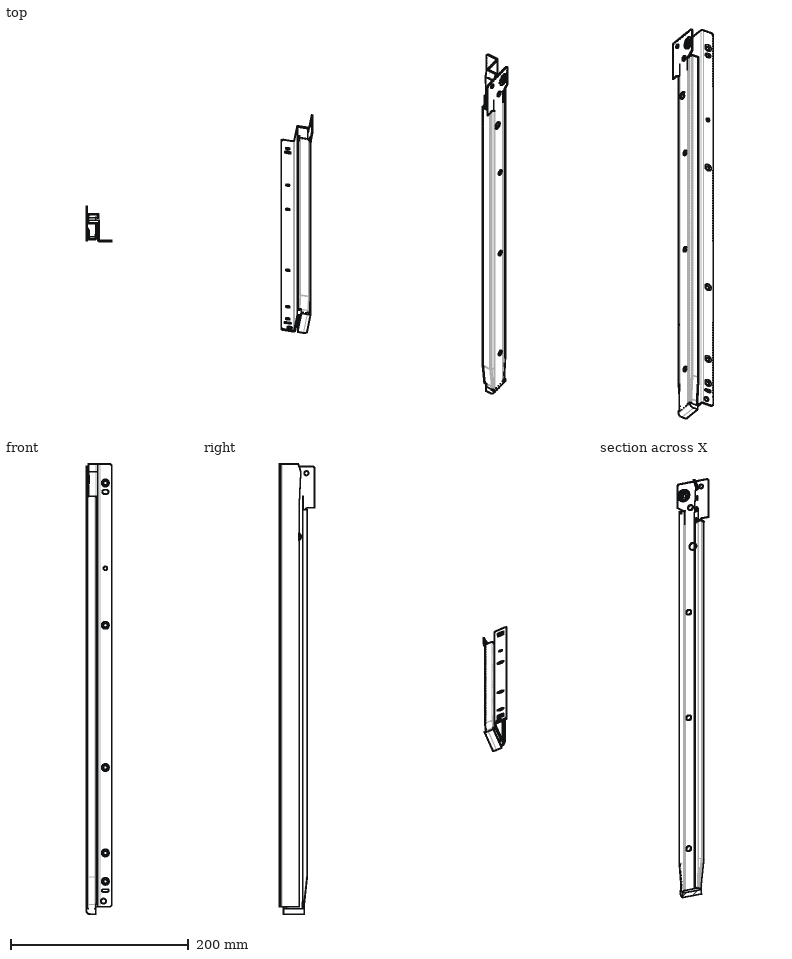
import cadquery as cq
import math

overall_width = 28.85
overall_depth = 39.5
overall_length = 506.63

drawer_sheet = 1.2
drawer_bend = 1.4
channel_front = 2.2
channel_rear = 31.3
front_lip_x = 11.2
front_lip_end = 7.5
rear_lip_x = 14.0
rear_lip_end = 26.0
joggle_x = 1.0
front_joggle_y = 8.2
web_front_y = 9.9
web_rear_y = 26.6
rear_slope_x = 1.4
rear_slope_y = 29.7
channel_top = 470.0
rear_flange_top = 455.0

taper_top = 42.0
tip_top = 11.5
tip_width = 10.8
end_wall_thickness = 6.0
end_wall_rounding = 4.5
front_taper = 2.3
rear_taper = 3.3

ear_front = 0.8
ear_top = 503.6
ear_base = 457.0
ear_front_base = 475.0
ear_corner = 1.5
ear_hole = (30.3, 496.0)
ear_hole_diameter = 4.6

web_hole_y = 14.8
web_hole_diameter = 6.0
web_hole_heights = (56.0, 216.0, 345.0)
upper_web_holes = ((20.0, 424.7, 8.5), (17.0, 472.6, 6.0))

pin_y = 8.6
pin_z = 488.8
dimple_radius = 7.0
dimple_floor_radius = 4.6
dimple_depth = 1.2
pin_radius = 2.0
pin_collar_radius = 4.2
pin_collar_thickness = 1.0

cabinet_sheet = 1.5
cabinet_bend = 1.6
cabinet_web_x = 13.0
cabinet_base = 8.4
lip_free_x = 2.6
lip_bend = 2.0
lip_y = 22.0
ramp_start = 455.0
ramp_crest_z = 497.5
ramp_crest_y = 24.0
ramp_end_y = 21.3
foot_corner = 1.8

stop_x = 11.5
stop_front = 9.0
stop_rear = 20.0
stop_base = 30.0
stop_top = 41.0

foot_hole_x = 21.6
screw_heights = (37.0, 69.0, 165.0, 325.0, 485.0)
screw_diameter = 4.5
countersink_diameter = 8.2
countersink_depth = 1.2
pilot_height = 389.0
pilot_diameter = 4.0
upper_slot = (475.0, 6.8, 4.4)
lower_slot = (26.7, 7.6, 2.8)
locating_hole = (19.5, 14.8)
locating_diameter = 5.5


def sheet_side(path, radius, shift):
    """One side of a folded sheet, as moves to the left of its mid-line by `shift`."""
    directions = []
    for (x0, y0), (x1, y1) in zip(path, path[1:]):
        length = math.hypot(x1 - x0, y1 - y0)
        directions.append(((x1 - x0) / length, (y1 - y0) / length))

    def beside(point, direction):
        return (point[0] - shift * direction[1], point[1] + shift * direction[0])

    moves = [[beside(path[0], directions[0])]]
    for corner, before, after in zip(path[1:], directions, directions[1:]):
        turn = math.atan2(
            before[0] * after[1] - before[1] * after[0],
            before[0] * after[0] + before[1] * after[1],
        )
        tangent = radius * math.tan(abs(turn) / 2)
        start = (corner[0] - tangent * before[0], corner[1] - tangent * before[1])
        end = (corner[0] + tangent * after[0], corner[1] + tangent * after[1])
        side = math.copysign(1, turn)
        center = (start[0] - side * radius * before[1], start[1] + side * radius * before[0])
        reach = math.hypot(corner[0] - center[0], corner[1] - center[1])
        scale = (radius - side * shift) / reach
        middle = tuple(c + scale * (k - c) for c, k in zip(center, corner))
        moves.append([beside(start, before), middle, beside(end, after)])
    moves.append([beside(path[-1], directions[-1])])
    return moves


def folded_sheet(plane, path, radius, thickness):
    """Closed outline of a sheet of even thickness folded along its mid-line."""
    left = sheet_side(path, radius, thickness / 2)
    right = sheet_side(path, radius, -thickness / 2)
    moves = left + [move[::-1] for move in reversed(right)]
    outline = plane.moveTo(*moves[0][0])
    for move in moves[1:]:
        outline = outline.lineTo(*move[0])
        if len(move) > 1:
            outline = outline.threePointArc(move[1], move[2])
    return outline.close()


def box(x0, x1, y0, y1, z0, z1):
    return cq.Workplane("XY").box(x1 - x0, y1 - y0, z1 - z0, centered=False).translate((x0, y0, z0))


def channel_section(plane, front, rear):
    """Channel section between its front and rear flange, at any height of the rail."""
    half = drawer_sheet / 2
    path = [
        (front_lip_x - half, front_lip_end),
        (front_lip_x - half, front + half),
        (joggle_x + half, front + half),
        (joggle_x + half, front_joggle_y),
        (half, web_front_y),
        (half, web_rear_y),
        (rear_slope_x + half, rear - (channel_rear - rear_slope_y)),
        (rear_slope_x + half + drawer_bend, rear - half),
        (rear_lip_x - half, rear - half),
        (rear_lip_x - half, rear_lip_end),
    ]
    return folded_sheet(plane, path, drawer_bend / 2, drawer_sheet)


def across_x(points, x0, x1):
    """Plate with a Y-Z outline between two X positions."""
    return cq.Workplane("YZ").workplane(offset=x0).polyline(points).close().extrude(x1 - x0)


def pin_disc(radius, x0, x1):
    return cq.Workplane("YZ", origin=(x0, 0, 0)).center(pin_y, pin_z).circle(radius).extrude(x1 - x0)


def pin_cone(x0, radius0, x1, radius1):
    cone = cq.Workplane("YZ", origin=(x0, 0, 0)).center(pin_y, pin_z).circle(radius0)
    return cone.workplane(offset=x1 - x0).circle(radius1).loft()


def make_drawer_rail():
    rail = channel_section(
        cq.Workplane("XY").workplane(offset=taper_top), channel_front, channel_rear
    ).extrude(channel_top - taper_top)
    rail = rail.cut(box(0, rear_lip_x, web_rear_y, channel_rear, rear_flange_top, channel_top))

    tip_front = channel_front + front_taper
    tip_rear = channel_rear - rear_taper
    taper = channel_section(cq.Workplane("XY").workplane(offset=tip_top), tip_front, tip_rear)
    taper = channel_section(
        taper.workplane(offset=taper_top - tip_top), channel_front, channel_rear
    ).loft(ruled=True)
    tip = channel_section(cq.Workplane("XY"), tip_front, tip_rear).extrude(tip_top)
    tip = tip.intersect(box(0, tip_width, 0, channel_rear, 0, tip_top))
    end_wall = box(0, tip_width, tip_front, tip_rear, 0, end_wall_thickness)
    tip = tip.union(end_wall).faces("<Z").edges("<X").fillet(end_wall_rounding)
    rail = rail.union(taper).union(tip)

    ear = across_x(
        [
            (web_front_y, rear_flange_top - ear_corner),
            (web_rear_y, rear_flange_top - ear_corner),
            (channel_rear, ear_base),
            (overall_depth, ear_base),
            (overall_depth, ear_top - ear_corner),
            (overall_depth - ear_corner, ear_top),
            (ear_front + ear_corner, ear_top),
            (ear_front, ear_top - ear_corner),
            (ear_front, ear_front_base),
            (front_joggle_y, channel_top),
            (web_front_y, channel_top),
        ],
        0,
        drawer_sheet,
    )
    rail = rail.union(ear)

    back = dimple_depth + drawer_sheet
    rail = rail.union(pin_cone(drawer_sheet, dimple_radius, back, dimple_floor_radius + drawer_sheet))
    rail = rail.cut(pin_cone(0, dimple_radius, dimple_depth, dimple_floor_radius))
    rail = rail.cut(pin_disc(pin_radius, 0, back))

    holes = [(web_hole_y, z, web_hole_diameter) for z in web_hole_heights]
    holes += [*upper_web_holes, (*ear_hole, ear_hole_diameter)]
    for y, z, diameter in holes:
        rail = rail.cut(cq.Workplane("YZ").center(y, z).circle(diameter / 2).extrude(drawer_sheet))
    return rail


def make_pin():
    collar_start = dimple_depth + drawer_sheet
    shank = pin_disc(pin_radius, dimple_depth, collar_start)
    return shank.union(pin_disc(pin_collar_radius, collar_start, collar_start + pin_collar_thickness))


def make_cabinet_rail():
    half = cabinet_sheet / 2
    web_back = cabinet_web_x + cabinet_sheet
    path = [
        (overall_width, half),
        (cabinet_web_x + half, half),
        (cabinet_web_x + half, ramp_end_y),
    ]
    plane = cq.Workplane("XY").workplane(offset=cabinet_base)
    rail = folded_sheet(plane, path, cabinet_bend, cabinet_sheet).extrude(overall_length - cabinet_base)
    rail = rail.edges("|Y and >X").chamfer(foot_corner)

    lip_line = [
        (lip_y, cabinet_base),
        (lip_y, ramp_start),
        (ramp_crest_y, ramp_crest_z),
        (ramp_end_y, overall_length),
    ]
    lip_front = [(y - cabinet_sheet, z) for y, z in reversed(lip_line)]
    rail = rail.union(across_x(lip_line + lip_front, lip_free_x, web_back))
    web_front = lip_y - 2 * cabinet_sheet
    web_edge = [(web_front, overall_length), (web_front, cabinet_base)]
    rail = rail.union(across_x(lip_line + web_edge, cabinet_web_x, web_back))
    corner_box = cq.selectors.BoxSelector(
        (cabinet_web_x - half, web_front, cabinet_base + half),
        (cabinet_web_x + half, ramp_crest_y, overall_length - half),
    )
    rail = rail.edges(corner_box).fillet(lip_bend)

    rail = rail.union(box(stop_x, web_back, stop_front, stop_rear, stop_base, stop_top))
    return drill_foot(rail)


def drill_foot(rail):
    """Countersunk screw holes, a pilot hole, two slots and a locating hole."""
    holes = [(foot_hole_x, z, screw_diameter) for z in screw_heights]
    holes += [(foot_hole_x, pilot_height, pilot_diameter), (*locating_hole, locating_diameter)]
    for x, z, diameter in holes:
        rail = rail.cut(cq.Workplane("XZ").center(x, z).circle(diameter / 2).extrude(-cabinet_sheet))
    for z in screw_heights:
        sink = cq.Workplane("XZ").center(foot_hole_x, z).circle(countersink_diameter / 2)
        sink = sink.workplane(offset=-countersink_depth).circle(screw_diameter / 2).loft()
        rail = rail.cut(sink)
    for z, length, width in (upper_slot, lower_slot):
        slot = cq.Workplane("XZ").center(foot_hole_x, z).slot2D(length, width).extrude(-cabinet_sheet)
        rail = rail.cut(slot)
    return rail


drawer_rail = make_drawer_rail().solids()
cabinet_rail = make_cabinet_rail().solids()
pin = make_pin().solids()

result = cq.Compound.makeCompound([drawer_rail.val(), cabinet_rail.val(), pin.val()])